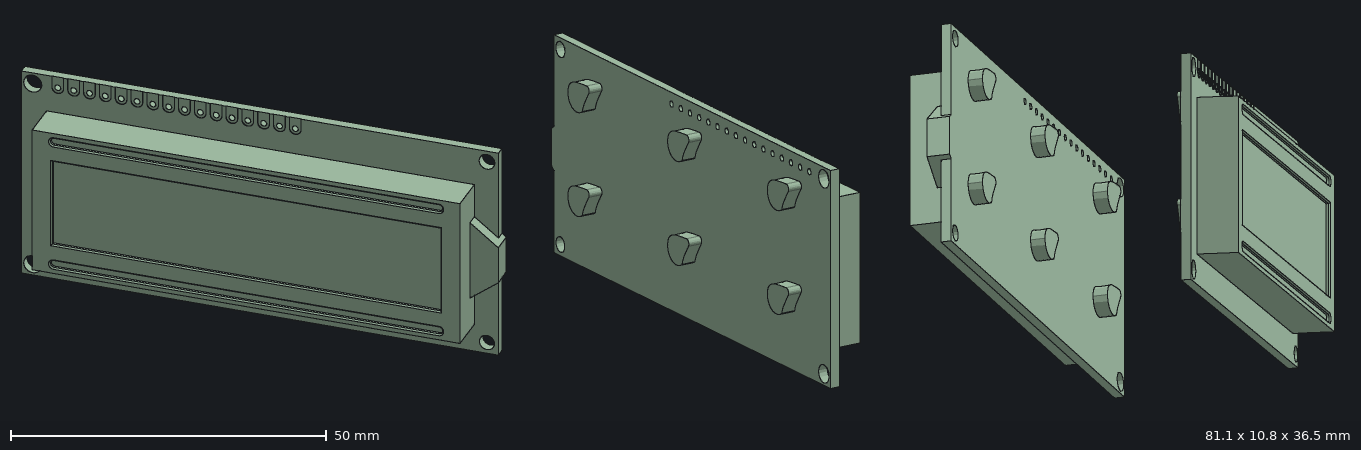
import cadquery as cq
import math


board_length = 80.4
board_height = 36.5
board_thickness = 1.7

hole_inset = 1.95
left_hole_diameter = 3.0
upper_right_hole_diameter = 2.6
lower_right_hole_diameter = 2.5

pad_count = 16
pad_row_start = 6.2
pad_row_length = 40.0
pad_width = 1.95
pad_depth = 0.1
pad_hole_diameter = 1.0
pad_drop = 1.95

bezel_length = 72.0
bezel_height = 25.2
bezel_depth = 6.7
bezel_left = 4.3
bezel_bottom = 4.9

window_length = 65.9
window_height = 15.4
recess_depth = 0.65
recess_chamfer = 0.25
chamfer_angle = 45
slot_length = 66.5
slot_height = 1.7
slot_spacing = 22.1

overall_length = 81.1
tab_root_height = 13.6
tab_tip_height = 6.3
tab_thickness = 3.8

cover_columns = 3
cover_rows = 2
cover_pitch_x = 29.0
cover_pitch_z = 17.4
cover_body_radius = 2.6
cover_nose_radius = 0.7
cover_reach = 3.6
cover_nose_turn = 30
cover_top_slope = 5
cover_foot_lean = 12
cover_foot_angle = 38
cover_thickness = 2.4
first_cover_x = 12.0
first_cover_z = 12.2

bezel_center_x = bezel_left + bezel_length / 2
bezel_center_z = bezel_bottom + bezel_height / 2
bezel_right = bezel_left + bezel_length


def plane_at(y):
    """Workplane at depth y whose local axes are X and Z and whose normal points to -Y."""
    return cq.Workplane("XZ", origin=(0, y, 0))


def through_hole(x, z, diameter):
    return plane_at(board_thickness).center(x, z).circle(diameter / 2).extrude(board_thickness)


def make_board():
    board = plane_at(board_thickness).rect(board_length, board_height, centered=False).extrude(board_thickness)
    right_x = board_length - hole_inset
    upper_z = board_height - hole_inset
    for z in (hole_inset, upper_z):
        board = board.cut(through_hole(hole_inset, z, left_hole_diameter))
    board = board.cut(through_hole(right_x, upper_z, upper_right_hole_diameter))
    return board.cut(through_hole(right_x, hole_inset, lower_right_hole_diameter))


def cut_pads(board):
    pitch = pad_row_length / (pad_count - 1)
    pad_z = board_height - pad_drop
    for index in range(pad_count):
        x = pad_row_start + index * pitch
        recess = (
            plane_at(pad_depth)
            .moveTo(x - pad_width / 2, board_height)
            .lineTo(x - pad_width / 2, pad_z)
            .threePointArc((x, pad_z - pad_width / 2), (x + pad_width / 2, pad_z))
            .lineTo(x + pad_width / 2, board_height)
            .close()
            .extrude(pad_depth)
        )
        board = board.cut(recess).cut(through_hole(x, pad_z, pad_hole_diameter))
    return board


def slot_pair(face, inset):
    """Outlines of the slots above and below the window, shrunk by the inset all round."""
    return face.pushPoints([(0, -slot_spacing / 2), (0, slot_spacing / 2)]).slot2D(
        slot_length - 2 * inset, slot_height - 2 * inset
    )


def make_bezel():
    back = plane_at(0).center(bezel_center_x, bezel_center_z)
    face = plane_at(-bezel_depth).center(bezel_center_x, bezel_center_z)
    bezel = back.rect(bezel_length, bezel_height).extrude(bezel_depth)
    inner_length = window_length - 2 * recess_chamfer
    inner_height = window_height - 2 * recess_chamfer
    rim_recesses = [
        face.rect(window_length, window_height).extrude(-recess_chamfer, taper=chamfer_angle),
        slot_pair(face, 0).extrude(-recess_chamfer, taper=chamfer_angle),
    ]
    deep_recesses = [
        face.rect(inner_length, inner_height).extrude(-recess_depth),
        slot_pair(face, recess_chamfer).extrude(-recess_depth),
    ]
    for recess in rim_recesses + deep_recesses:
        bezel = bezel.cut(recess)
    return bezel


def make_tab():
    root = tab_root_height / 2
    tip = tab_tip_height / 2
    outline = [
        (bezel_right, bezel_center_z - root),
        (overall_length, bezel_center_z - tip),
        (overall_length, bezel_center_z + tip),
        (bezel_right, bezel_center_z + root),
    ]
    return plane_at(board_thickness).polyline(outline).close().extrude(tab_thickness)


def make_cover(x, z):
    """Round body drawn out into a nose at the upper left, with a hollow flank below the nose."""
    top_slope = math.radians(cover_top_slope)
    nose_turn = math.radians(cover_nose_turn)
    foot_angle = math.radians(cover_foot_angle)
    foot_lean = math.radians(cover_foot_lean)
    radius = cover_body_radius
    nose = cover_nose_radius
    nose_x = nose - cover_reach
    nose_z = radius - nose
    nose_top = (nose_x, radius)
    nose_tip = (nose_x - nose, nose_z)
    nose_end = (nose_x - nose * math.cos(nose_turn), nose_z - nose * math.sin(nose_turn))
    foot = (-radius * math.sin(foot_angle), -radius * math.cos(foot_angle))
    right = (radius, 0)
    flank_start = (math.sin(nose_turn), -math.cos(nose_turn))
    flank_end = (math.sin(foot_lean), -math.cos(foot_lean))
    return (
        plane_at(board_thickness + cover_thickness)
        .center(x, z)
        .moveTo(*nose_top)
        .threePointArc(nose_tip, nose_end)
        .spline([foot], [flank_start, flank_end], includeCurrent=True)
        .threePointArc((0, -radius), right)
        .spline([nose_top], [(0, 1), (-math.cos(top_slope), math.sin(top_slope))], includeCurrent=True)
        .close()
        .extrude(cover_thickness)
    )


result = cut_pads(make_board()).union(make_bezel()).union(make_tab())
for column in range(cover_columns):
    for row in range(cover_rows):
        cover = make_cover(first_cover_x + column * cover_pitch_x, first_cover_z + row * cover_pitch_z)
        result = result.union(cover)